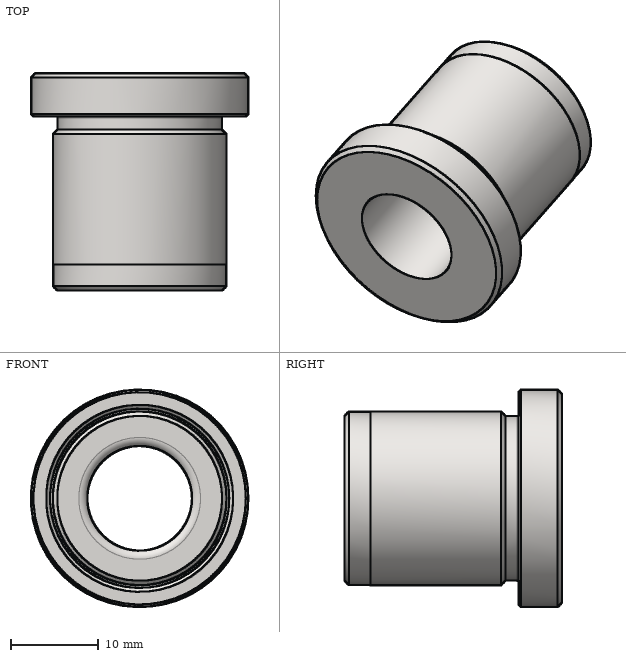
import cadquery as cq

length = 25.0
flange_radius = 12.5
flange_thickness = 5.0
flange_chamfer = 0.5
flange_front_chamfer = 0.3
body_radius = 10.0
lead_radius = 9.98
lead_length = 3.0
lead_chamfer = 0.5
neck_radius = 9.48
neck_fillet = 0.6
neck_width = 1.5
bore_radius = 6.0
bore_rounding = 1.0
recess_radius = 10.75
recess_depth = 0.45
recess_floor_radius = 10.3

flange_front = length - flange_thickness
neck_start = flange_front - neck_width
body_chamfer = body_radius - neck_radius
recess_floor = flange_front + recess_depth

profile = (
    cq.Workplane("XY")
    .moveTo(0, 0)
    .lineTo(lead_radius - lead_chamfer, 0)
    .lineTo(lead_radius, lead_chamfer)
    .lineTo(lead_radius, lead_length)
    .lineTo(body_radius, lead_length)
    .lineTo(body_radius, neck_start - body_chamfer)
    .lineTo(neck_radius, neck_start)
    .lineTo(neck_radius, recess_floor - neck_fillet)
    .radiusArc((neck_radius + neck_fillet, recess_floor), neck_fillet)
    .lineTo(recess_floor_radius, recess_floor)
    .lineTo(recess_radius, flange_front)
    .lineTo(flange_radius - flange_front_chamfer, flange_front)
    .lineTo(flange_radius, flange_front + flange_front_chamfer)
    .lineTo(flange_radius, length - flange_chamfer)
    .lineTo(flange_radius - flange_chamfer, length)
    .lineTo(0, length)
    .close()
)
outer = profile.revolve(360, (0, 0, 0), (0, 1, 0))

bore = cq.Workplane("XZ").circle(bore_radius).extrude(-length)
bushing = outer.cut(bore)
mouth = cq.selectors.RadiusNthSelector(0)
result = bushing.faces("<Y").edges(mouth).fillet(bore_rounding)